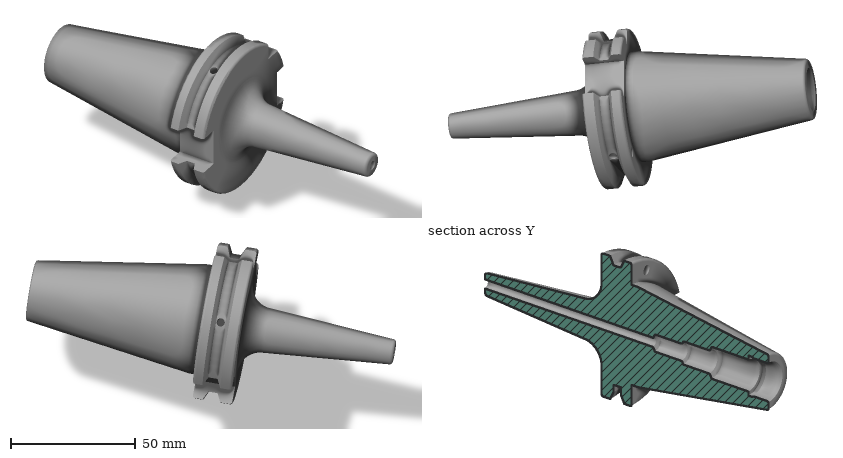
import cadquery as cq
import math

TOTAL_LENGTH = 148.4
TAPER_LENGTH = 68.4
FLANGE_START = 71.5
FLANGE_END = 87.5
NECK_END = 96.6

TAPER_RATIO = 7 / 24
GAUGE_RADIUS = 22.3
TAPER_SMALL_RADIUS = GAUGE_RADIUS - TAPER_LENGTH * TAPER_RATIO / 2
TAPER_END_ROUND = 1.0

FLANGE_RADIUS = 31.8
FLANGE_ROUND = 1.0
GROOVE_RADIUS = 28.2
GROOVE_CENTER = 79.2
GROOVE_FLOOR_WIDTH = 3.7
GROOVE_TOP_WIDTH = 7.3

NECK_RADIUS = 9.0
NECK_ROUND = NECK_END - FLANGE_END
NOSE_TIP_RADIUS = 5.0
NOSE_ROUND = 1.2

PILOT_RADIUS = 8.3
PILOT_MOUTH_RADIUS = 8.8
PILOT_CHAMFER_LENGTH = 1.0
PILOT_DEPTH = 8.3
RELIEF_RADIUS = 8.8
RELIEF_END = 10.4
BORE_STEPS = ((7.0, 29.7), (5.0, 44.5), (3.7, 59.4))
THROUGH_RADIUS = 2.0
DRILL_POINT_ANGLE = math.radians(118)

SLOT_WIDTH = 16.3
FRONT_SLOT_FLOOR = 23.0
BACK_SLOT_FLOOR = 24.8
NOTCH_CORNER = 18.5
FLAT_TURN = -15.4
FLAT_DISTANCE = 24.0

CHANNEL_COUNT = 2
CHANNEL_TURN = 20
CHANNEL_START_RADIUS = 27.0
CHANNEL_RADIUS = 1.8
CHANNEL_LENGTH = 14.1
CHANNEL_TILT = math.radians(35)
PLUG_RADIUS = 1.6
PLUG_TOP_RADIUS = 21.5
PLUG_BOTTOM_RADIUS = 17.8

X_AXIS = cq.Vector(1, 0, 0)
Z_AXIS = cq.Vector(0, 0, 1)
ORIGIN = cq.Vector(0, 0, 0)


def revolved(outline):
    """Close a half outline and turn it around the X axis."""
    return outline.close().revolve(360, (0, 0, 0), (1, 0, 0))


def make_blank():
    groove_start = GROOVE_CENTER - GROOVE_TOP_WIDTH / 2
    groove_end = GROOVE_CENTER + GROOVE_TOP_WIDTH / 2
    floor_start = GROOVE_CENTER - GROOVE_FLOOR_WIDTH / 2
    floor_end = GROOVE_CENTER + GROOVE_FLOOR_WIDTH / 2
    outline = (
        cq.Workplane("XZ")
        .lineTo(0, TAPER_SMALL_RADIUS)
        .lineTo(TAPER_LENGTH, GAUGE_RADIUS)
        .lineTo(FLANGE_START, GAUGE_RADIUS)
        .lineTo(FLANGE_START, FLANGE_RADIUS)
        .lineTo(groove_start, FLANGE_RADIUS)
        .lineTo(floor_start, GROOVE_RADIUS)
        .lineTo(floor_end, GROOVE_RADIUS)
        .lineTo(groove_end, FLANGE_RADIUS)
        .lineTo(FLANGE_END, FLANGE_RADIUS)
        .lineTo(FLANGE_END, NECK_RADIUS + NECK_ROUND)
        .radiusArc((NECK_END, NECK_RADIUS), -NECK_ROUND)
        .lineTo(TOTAL_LENGTH, NOSE_TIP_RADIUS)
        .lineTo(TOTAL_LENGTH, 0)
    )
    blank = revolved(outline)
    blank = blank.faces("<X").edges().fillet(TAPER_END_ROUND)
    blank = blank.faces(">X").edges().fillet(NOSE_ROUND)
    flange_rims = cq.selectors.RadiusNthSelector(-1)
    return blank.edges(flange_rims).edges("<X or >X").fillet(FLANGE_ROUND)


def make_bore():
    outline = (
        cq.Workplane("XZ")
        .lineTo(0, PILOT_MOUTH_RADIUS)
        .lineTo(PILOT_CHAMFER_LENGTH, PILOT_RADIUS)
        .lineTo(PILOT_DEPTH, PILOT_RADIUS)
        .lineTo(PILOT_DEPTH, RELIEF_RADIUS)
        .lineTo(RELIEF_END, RELIEF_RADIUS)
        .lineTo(RELIEF_END, BORE_STEPS[0][0])
    )
    next_radii = [radius for radius, _ in BORE_STEPS[1:]] + [THROUGH_RADIUS]
    for (radius, depth), next_radius in zip(BORE_STEPS, next_radii):
        cone_length = (radius - next_radius) / math.tan(DRILL_POINT_ANGLE / 2)
        outline = outline.lineTo(depth, radius).lineTo(depth + cone_length, next_radius)
    return revolved(outline.lineTo(TOTAL_LENGTH, THROUGH_RADIUS).lineTo(TOTAL_LENGTH, 0))


def make_block(start, end, y_range, z_range):
    """A box between two stations on X, with the given extents in Y and Z."""
    size = (end - start, y_range[1] - y_range[0], z_range[1] - z_range[0])
    return cq.Workplane("XY").box(*size, centered=False).translate((start, y_range[0], z_range[0]))


def make_flange_cuts():
    """Two drive slots and the corner notch, all through the whole flange width."""
    slot_height = (-SLOT_WIDTH / 2, SLOT_WIDTH / 2)
    notch_range = (NOTCH_CORNER, FLANGE_RADIUS)
    return [
        make_block(FLANGE_START, FLANGE_END, (-FLANGE_RADIUS, -FRONT_SLOT_FLOOR), slot_height),
        make_block(FLANGE_START, FLANGE_END, (BACK_SLOT_FLOOR, FLANGE_RADIUS), slot_height),
        make_block(FLANGE_START, FLANGE_END, notch_range, notch_range),
    ]


def make_balancing_cut():
    """A flat across the groove floor, near the bottom."""
    half_width = GROOVE_FLOOR_WIDTH / 2
    block = make_block(
        GROOVE_CENTER - half_width,
        GROOVE_CENTER + half_width,
        (-FLANGE_RADIUS, FLANGE_RADIUS),
        (-FLANGE_RADIUS, -FLAT_DISTANCE),
    )
    return block.rotate((0, 0, 0), (1, 0, 0), FLAT_TURN)


def make_channel(turn):
    """An inclined channel from the taper-side flange face inward."""
    direction = cq.Vector(math.cos(CHANNEL_TILT), 0, -math.sin(CHANNEL_TILT))
    mouth = cq.Vector(FLANGE_START, 0, CHANNEL_START_RADIUS)
    overrun = 2 * CHANNEL_RADIUS
    length = CHANNEL_LENGTH + overrun
    channel = cq.Solid.makeCylinder(CHANNEL_RADIUS, length, mouth - direction * overrun, direction)
    return channel.rotate(ORIGIN, X_AXIS, turn)


def make_radial_cylinder(inner_radius, outer_radius, turn):
    base = cq.Vector(GROOVE_CENTER, 0, inner_radius)
    cylinder = cq.Solid.makeCylinder(PLUG_RADIUS, outer_radius - inner_radius, base, Z_AXIS)
    return cylinder.rotate(ORIGIN, X_AXIS, turn)


def make_plug(turn):
    return make_radial_cylinder(PLUG_BOTTOM_RADIUS, PLUG_TOP_RADIUS, turn)


def make_plug_hole(turn):
    return make_radial_cylinder(PLUG_BOTTOM_RADIUS, GROOVE_RADIUS, turn)


def make_holder(turns):
    holder = make_blank().cut(make_bore()).cut(make_balancing_cut())
    for cut in make_flange_cuts():
        holder = holder.cut(cut)
    for turn in turns:
        holder = holder.cut(cq.Workplane(make_channel(turn)))
        holder = holder.cut(cq.Workplane(make_plug_hole(turn)))
    return holder


channel_turns = [CHANNEL_TURN + 360 * index / CHANNEL_COUNT for index in range(CHANNEL_COUNT)]
holder = make_holder(channel_turns)
plugs = [make_plug(turn) for turn in channel_turns]

result = cq.Compound.makeCompound([holder.val(), *plugs])